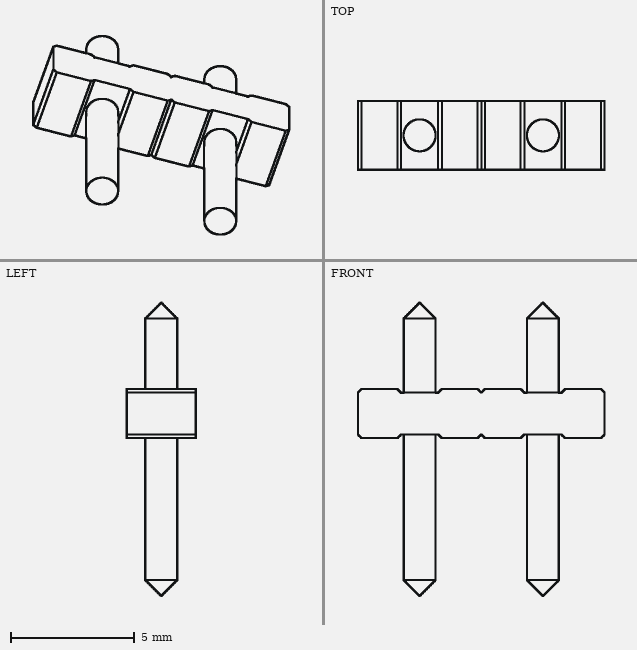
import cadquery as cq


pole_count = 2
pitch = 5.0
block_depth = 2.8
block_height = 2.0
bevel = 0.15
recess_floor_width = 1.5

pin_diameter = 1.3
pin_above_block = 3.5
pin_below_block = 6.4

block_length = pole_count * pitch
half_height = block_height / 2
half_pitch = pitch / 2
pin_radius = pin_diameter / 2
point_height = pin_radius
pin_top = half_height + pin_above_block
pin_bottom = -half_height - pin_below_block

pole_centers = [(i + 0.5) * pitch - block_length / 2 for i in range(pole_count)]


def pole_section(x_center):
    """Slice of the block around one pin, recessed above and below."""
    low = half_height - bevel
    half_floor = recess_floor_width / 2
    half_mouth = half_floor + bevel
    upper_edge = [
        (-half_pitch, low),
        (-half_pitch + bevel, half_height),
        (-half_mouth, half_height),
        (-half_floor, low),
        (half_floor, low),
        (half_mouth, half_height),
        (half_pitch - bevel, half_height),
        (half_pitch, low),
    ]
    lower_edge = [(x, -z) for x, z in reversed(upper_edge)]
    return (
        cq.Workplane("XZ")
        .polyline(upper_edge + lower_edge)
        .close()
        .extrude(block_depth / 2, both=True)
        .translate((x_center, 0, 0))
    )


def pin(x_center):
    """Round pin with a conical point at each end, revolved about its own axis."""
    return (
        cq.Workplane("XZ")
        .moveTo(0, pin_bottom)
        .lineTo(pin_radius, pin_bottom + point_height)
        .lineTo(pin_radius, pin_top - point_height)
        .lineTo(0, pin_top)
        .close()
        .revolve(360, (0, 0, 0), (0, 1, 0))
        .translate((x_center, 0, 0))
    )


block = pole_section(pole_centers[0])
for x_center in pole_centers[1:]:
    block = block.union(pole_section(x_center))
block = block.clean()

result = block
for x_center in pole_centers:
    result = result.union(pin(x_center))